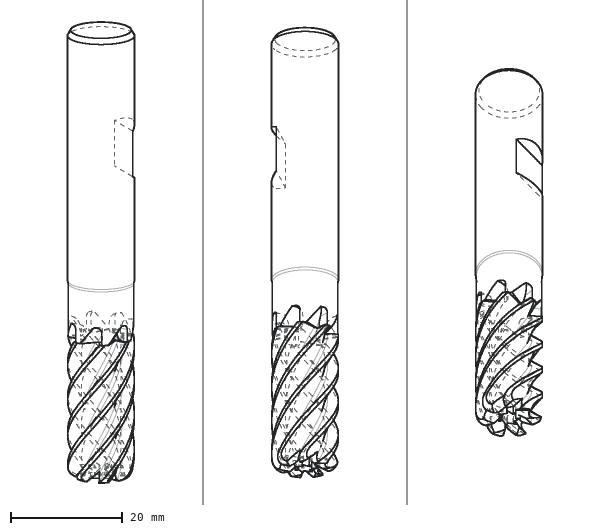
import cadquery as cq
import math

total_length = 83.0
shank_diameter = 12.0
shank_radius = shank_diameter / 2

end_chamfer_height = 1.0
end_chamfer_depth = 0.6
neck_diameter = 11.8
neck_radius = neck_diameter / 2
shoulder_height = 36.5
shoulder_taper_height = 0.5
flat_depth = 1.6
flat_center_height = 60.5
flat_floor_length = 8.5
flat_end_run = 1.1

head_height = 26.0
tooth_count = 7
tooth_pitch = 360 / tooth_count
cutting_radius = 6.0
corner_radius = 2.0
helix_lead = 45.0
tip_angle_at_joint = -78.5
twist_per_unit = 360 / helix_lead
tip_angle_at_end = tip_angle_at_joint - twist_per_unit * head_height

land_angle = 9.0
back_foot_radius = 3.7
back_foot_angle = 38.0
core_radius = 3.6
core_angle = 44.0
rake_foot_radius = 4.0
rake_foot_angle = 50.0
flank_extension = 1.4
flute_overrun = 0.4

runout_height = 3.2
runout_turn = 6.0
runout_wall_offset = 0.4
runout_width = 5.8
runout_round = 0.8
runout_inner_reach = 2.5

gash_height = 2.0
gash_width = 2.3
gash_inner_radius = 1.25


def polar(radius, angle):
    turn = math.radians(angle)
    return (radius * math.cos(turn), radius * math.sin(turn))


def extend(start, end):
    """Point past the end of a straight flank, clear of the cutting diameter."""
    return tuple(a + flank_extension * (b - a) for a, b in zip(start, end))


def make_flute():
    """Twisted cutter for one flute, from below the end face to the top of its run-out."""
    height = flute_overrun + head_height + runout_height
    tip = tip_angle_at_end - twist_per_unit * flute_overrun
    land_end = polar(cutting_radius, tip + land_angle)
    back_foot = polar(back_foot_radius, tip + back_foot_angle)
    core = polar(core_radius, tip + core_angle)
    rake_foot = polar(rake_foot_radius, tip + rake_foot_angle)
    next_tip = polar(cutting_radius, tip + tooth_pitch)
    section = (
        cq.Workplane("XY", origin=(0, 0, -flute_overrun))
        .moveTo(*extend(back_foot, land_end))
        .lineTo(*back_foot)
        .threePointArc(core, rake_foot)
        .lineTo(*extend(rake_foot, next_tip))
        .close()
    )
    return section.twistExtrude(height, twist_per_unit * height)


def cut_around(body, cutter):
    """Cut the same feature once for each tooth."""
    for tooth in range(tooth_count):
        body = body.cut(cutter.rotate((0, 0, 0), (0, 0, 1), tooth * tooth_pitch), clean=False)
    return body


def make_end_gash():
    """V-shaped radial notch in the end face, in front of one tooth."""
    return (
        cq.Workplane("YZ", origin=(gash_inner_radius, 0, 0))
        .polyline([(0, 0), (0, gash_height), (-gash_width, 0)])
        .close()
        .extrude(shank_radius)
        .rotate((0, 0, 0), (0, 0, 1), tip_angle_at_end)
    )


def make_cutting_head(flute):
    blank = cq.Workplane("XY").circle(cutting_radius).extrude(head_height)
    blank = blank.faces("<Z").edges().fillet(corner_radius)
    return cut_around(cut_around(blank, make_end_gash()), flute)


def make_shank_blank():
    profile = [
        (0, head_height),
        (neck_radius, head_height),
        (neck_radius, shoulder_height - shoulder_taper_height),
        (shank_radius, shoulder_height),
        (shank_radius, total_length - end_chamfer_height),
        (shank_radius - end_chamfer_depth, total_length),
        (0, total_length),
    ]
    return cq.Workplane("XZ").polyline(profile).close().revolve(360, (0, 0), (0, 1))


def make_clamping_flat():
    """Flat-bottomed notch with sloping ends, on the +Y side."""
    half_floor = flat_floor_length / 2
    half_mouth = half_floor + flat_end_run
    floor_y = shank_radius - flat_depth
    profile = [
        (floor_y, flat_center_height - half_floor),
        (shank_radius, flat_center_height - half_mouth),
        (shank_radius, flat_center_height + half_mouth),
        (floor_y, flat_center_height + half_floor),
    ]
    return cq.Workplane("YZ").polyline(profile).close().extrude(shank_radius, both=True)


def make_flute_runout(flute):
    """Upper end of one flute, turned slightly and stopped by an upright wall with a rounded top."""
    pocket = (
        cq.Workplane("XY")
        .box(shank_radius, runout_width, runout_height, centered=False)
        .edges("|X and >Z and >Y")
        .fillet(runout_round)
        .translate((runout_inner_reach, runout_wall_offset - runout_width, head_height))
        .rotate((0, 0, 0), (0, 0, 1), tip_angle_at_joint + tooth_pitch)
    )
    return pocket.intersect(flute.rotate((0, 0, 0), (0, 0, 1), runout_turn))


def make_shank(flute):
    return cut_around(make_shank_blank().cut(make_clamping_flat()), make_flute_runout(flute))


flute = make_flute()
cutting_head = make_cutting_head(flute)
shank = make_shank(flute)

result = cq.Compound.makeCompound([shank.val(), cutting_head.val()])